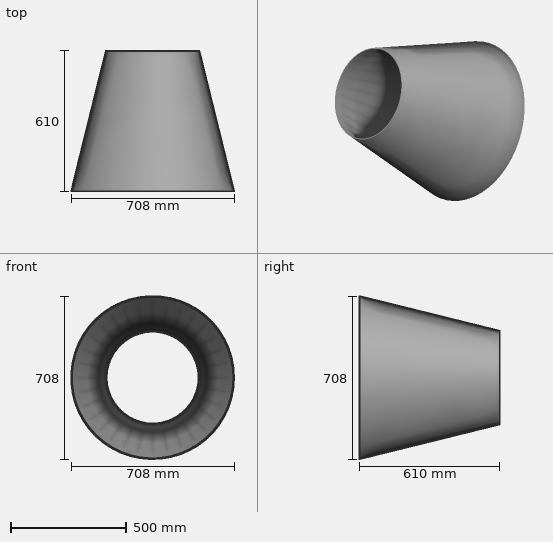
import cadquery as cq

large_diameter = 708.0
small_diameter = 406.0
length = 610.0
wall = 4.0

large_radius = large_diameter / 2
small_radius = small_diameter / 2

wall_section = (
    cq.Workplane("XY")
    .moveTo(large_radius - wall, 0)
    .lineTo(large_radius, 0)
    .lineTo(small_radius, length)
    .lineTo(small_radius - wall, length)
    .close()
)

result = wall_section.revolve(360, (0, 0, 0), (0, 1, 0))